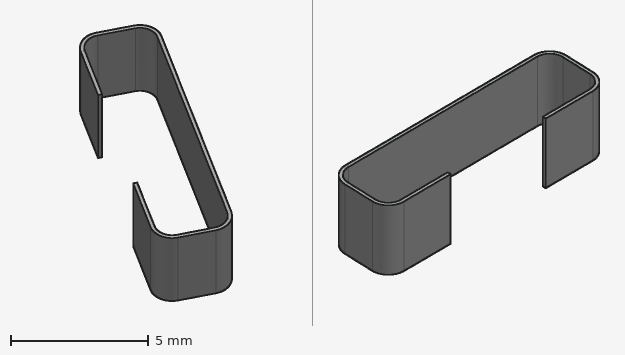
import cadquery as cq

length = 11.18
depth = 3.05
height = 3.18

thickness = 0.16
outer_radius = 0.82
inner_radius = outer_radius - thickness

gap = 4.81


def rounded_prism(size_x, size_y, corner_radius):
    """Upright block with rounded vertical edges, centred on the origin."""
    return cq.Workplane("XY").box(size_x, size_y, height).edges("|Z").fillet(corner_radius)


outer = rounded_prism(length, depth, outer_radius)
inner = rounded_prism(length - 2 * thickness, depth - 2 * thickness, inner_radius)
band = outer.cut(inner)

opening = cq.Workplane("XY").box(gap, depth, height).translate((0, -depth / 2, 0))
result = band.cut(opening)